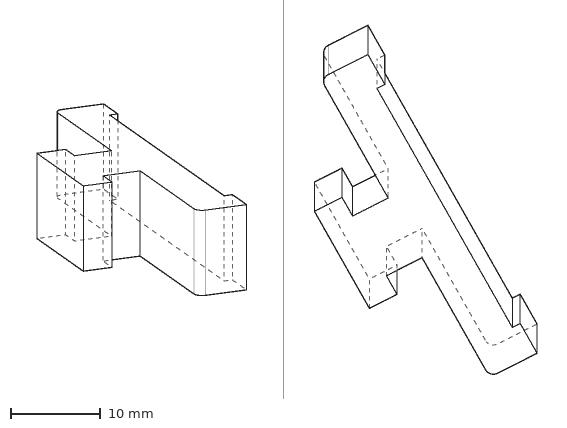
import cadquery as cq

length = 40.0
depth = 14.0
height = 10.0

bar_depth = 6.0
pad_width = 4.0
pad_rise = 1.0
corner_radius = 1.0

stem_width = 8.0
head_width = 13.0
head_depth = 3.5

bar_front = depth - bar_depth
recess_floor = depth - pad_rise


def block(width, y_front, y_back):
    """Full-height block centred on X, spanning y_front to y_back."""
    return (
        cq.Workplane("XY")
        .box(width, y_back - y_front, height, centered=(True, False, False))
        .translate((0, y_front, 0))
    )


def make_bar():
    """Crossbar with rounded front corners and a shallow recess between the pads."""
    bar = block(length, bar_front, depth)
    bar = bar.faces("<Y").edges("|Z").fillet(corner_radius)
    recess = block(length - 2 * pad_width, recess_floor, depth)
    return bar.cut(recess)


def make_foot():
    """Narrow stem ending in a wider rectangular head."""
    head = block(head_width, 0, head_depth)
    stem = block(stem_width, head_depth, bar_front)
    return head.union(stem)


result = make_bar().union(make_foot())